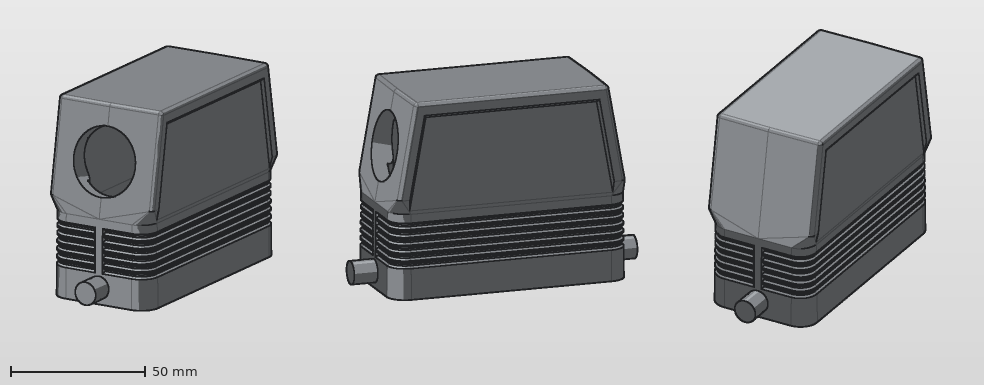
import cadquery as cq
import math

base_width = 43.0
base_length = 93.3
base_corner_radius = 7.1
sleeve_height = 33.1
sleeve_draft = 0.3

groove_count = 6
groove_band_bottom = 12.1
groove_pitch = 3.0
groove_depth = 0.9
flank_angle = 45
ridge_tip = 0.6
end_rib_width = 3.0

hood_width = 45.0
hood_top = 76.0
hood_shoulder = 38.9
hood_edge_radius = 1.5
end_slope = 0.18
end_crease = 0.3

panel_depth = 1.0
panel_top = 70.9
panel_top_length = 69.0

entry_diameter = 26.9
entry_height = 54.3
entry_depth = 10.0

cavity_width = 36.0
cavity_top_width = 33.7
cavity_top = 72.0
cavity_length = 69.5
alcove_width = 20.2
alcove_edge_radius = 2.3
alcove_length = 79.3
alcove_slope = end_slope

peg_diameter = 8.9
peg_height = 6.5
peg_span = 111.7

sleeve_angle = math.degrees(math.atan(sleeve_draft / sleeve_height))
collar_width = base_width - 2 * sleeve_draft
collar_length = base_length - 2 * sleeve_draft
collar_radius = base_corner_radius - sleeve_draft
end_angle = math.degrees(math.atan(end_slope))
cut_margin = 2.2
match_tolerance = 0.01


def hood_half_length(z):
    """Y of the hood end at mid width."""
    return collar_length / 2 - end_slope * (z - sleeve_height)


def rounded_block(width, length, radius, z, height, taper=0):
    sketch = cq.Sketch().rect(width, length).vertices().fillet(radius)
    return cq.Workplane("XY", origin=(0, 0, z)).placeSketch(sketch).extrude(height, taper=taper)


def groove_cutter(z):
    """Trapezoidal ring groove whose lower edge is at height z."""
    inset = sleeve_draft * z / sleeve_height
    width = base_width - 2 * inset
    length = base_length - 2 * inset
    radius = base_corner_radius - inset
    height = groove_pitch - ridge_tip
    floor_height = height - 2 * groove_depth
    lower = rounded_block(width, length, radius, z, groove_depth, flank_angle)
    upper = lower.mirror("XY", (0, 0, z + height / 2))
    floor = rounded_block(
        width - 2 * groove_depth, length - 2 * groove_depth, radius - groove_depth,
        z + groove_depth, floor_height,
    )
    slab = cq.Workplane("XY", origin=(0, 0, z)).rect(
        width + 2 * cut_margin, length + 2 * cut_margin
    ).extrude(height)
    return slab.cut(lower).cut(floor).cut(upper)


def end_rib_keeper(side):
    """Prism with 45 degree flanks protecting the rib on the +Y or -Y end."""
    tip = end_rib_width / 2
    root = tip + 2 * cut_margin
    outer = base_length / 2 + 2 * cut_margin
    face = base_length / 2 - sleeve_draft / 2
    inner = face - 2 * cut_margin
    outline = [(-tip, outer), (tip, outer), (tip, face), (root, inner), (-root, inner), (-tip, face)]
    points = [(x, side * y) for x, y in outline]
    return cq.Workplane("XY").polyline(points).close().extrude(sleeve_height)


def make_sleeve():
    sleeve = rounded_block(
        base_width, base_length, base_corner_radius, 0, sleeve_height, sleeve_angle
    )
    for index in range(groove_count):
        cutter = groove_cutter(groove_band_bottom + index * groove_pitch)
        for side in (-1, 1):
            cutter = cutter.cut(end_rib_keeper(side))
        sleeve = sleeve.cut(cutter)
    return sleeve


def hood_outline(z):
    """Six-sided plan of the hood, creased at the middle of both ends."""
    x = hood_width / 2
    y_middle = hood_half_length(z)
    y_side = y_middle - end_crease
    return [(x, -y_side), (x, y_side), (0, y_middle), (-x, y_side), (-x, -y_side), (0, -y_middle)]


def hood_prism(z_bottom):
    return (
        cq.Workplane("XY", origin=(0, 0, z_bottom)).polyline(hood_outline(z_bottom)).close()
        .workplane(offset=hood_top - z_bottom).polyline(hood_outline(hood_top)).close()
        .loft(ruled=True)
    )


def make_hood():
    upper = hood_prism(hood_shoulder)
    top_rim = upper.faces(">Z").edges().vals()
    uprights = [
        e for e in upper.edges("not #Z").vals()
        if abs(abs(e.Center().x) - hood_width / 2) < match_tolerance
    ]
    upper = upper.newObject(top_rim + uprights).fillet(hood_edge_radius)

    corner_x = hood_width / 2 - hood_edge_radius
    crease_drop = end_crease * corner_x / (hood_width / 2)
    shoulder_length = 2 * (hood_half_length(hood_shoulder) - crease_drop)
    flare_height = hood_shoulder - sleeve_height
    collar = cq.Sketch().rect(collar_width, collar_length).vertices().fillet(collar_radius)
    shoulder = cq.Sketch().rect(hood_width, shoulder_length).vertices().fillet(hood_edge_radius)
    flare = (
        cq.Workplane("XY", origin=(0, 0, sleeve_height))
        .placeSketch(collar, shoulder.moved(cq.Location(cq.Vector(0, 0, flare_height))))
        .loft(ruled=True)
    )

    point_profile = [(0, sleeve_height), (corner_x, hood_shoulder), (-corner_x, hood_shoulder)]
    end_points = (
        cq.Workplane("XZ").polyline(point_profile).close().extrude(base_length, both=True)
        .intersect(hood_prism(sleeve_height))
    )
    return flare.union(end_points).union(upper)


def panel_cutter():
    """Recess with 45 degree walls in the +X side, running out through the flare."""
    bottom = sleeve_height - cut_margin
    top_y = panel_top_length / 2
    bottom_y = top_y + end_slope * (panel_top - bottom)
    outline = [(-top_y, panel_top), (top_y, panel_top), (bottom_y, bottom), (-bottom_y, bottom)]
    return (
        cq.Workplane("YZ", origin=(hood_width / 2, 0, 0)).polyline(outline).close()
        .extrude(-panel_depth, taper=flank_angle)
    )


def make_cavity():
    """Chamber open at the bottom, with a narrower alcove reaching to each end wall."""
    half, half_top = cavity_width / 2, cavity_top_width / 2
    chamber_profile = [
        (-half, 0), (half, 0), (half, sleeve_height),
        (half_top, cavity_top), (-half_top, cavity_top), (-half, sleeve_height),
    ]
    chamber = cq.Workplane("XZ").polyline(chamber_profile).close().extrude(cavity_length / 2, both=True)
    alcoves = cq.Workplane("XY").rect(alcove_width, alcove_length).extrude(cavity_top)
    plan = chamber.union(alcoves)
    pillar_edges = [
        e for e in plan.edges("|Z").vals()
        if abs(abs(e.Center().x) - alcove_width / 2) < match_tolerance
        and abs(abs(e.Center().y) - cavity_length / 2) < match_tolerance
    ]
    plan = plan.newObject(pillar_edges).fillet(alcove_edge_radius)

    end_y = alcove_length / 2
    top_y = end_y - alcove_slope * (cavity_top - sleeve_height)
    end_profile = [
        (-end_y, 0), (end_y, 0), (end_y, sleeve_height),
        (top_y, cavity_top), (-top_y, cavity_top), (-end_y, sleeve_height),
    ]
    limits = cq.Workplane("YZ").polyline(end_profile).close().extrude(hood_width, both=True)
    return plan.intersect(limits)


def entry_cutter():
    """Cable hole square to the sloping -Y end."""
    angle = math.radians(end_angle)
    inward = cq.Vector(0, math.cos(angle), -math.sin(angle))
    mouth = cq.Vector(0, -hood_half_length(entry_height), entry_height)
    return cq.Workplane(
        cq.Solid.makeCylinder(
            entry_diameter / 2, entry_depth + cut_margin, mouth - inward * cut_margin, inward
        )
    )


def make_peg(side):
    """Round peg reaching out from the middle of the end wall."""
    root = base_length / 2 - cut_margin
    length = peg_span / 2 - root
    return cq.Workplane(
        cq.Solid.makeCylinder(
            peg_diameter / 2, length, cq.Vector(0, side * root, peg_height), cq.Vector(0, side, 0)
        )
    )


result = make_sleeve().union(make_hood())
panel = panel_cutter()
result = result.cut(panel).cut(panel.mirror("YZ"))
result = result.cut(make_cavity()).cut(entry_cutter())
for peg_side in (-1, 1):
    result = result.union(make_peg(peg_side))